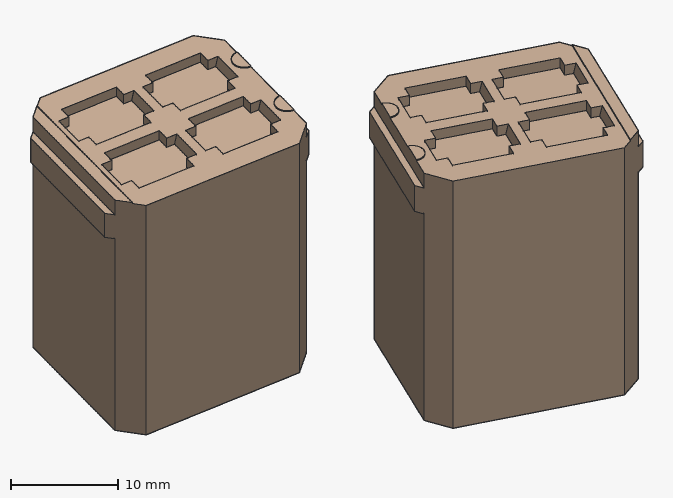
import cadquery as cq

width = 18.5
depth = 22.5
height = 28.0

corner_cut = 2.8
body_depth = 21.13
raised_height = 0.1
body_height = height - raised_height

rail_drop = 1.68
rail_height = 2.9

strip_depth = 1.2
marker_radius = 1.2

pitch_x = 7.47
pitch_y = 9.26
pocket_side = 6.05
pocket_depth = 1.12
slot_width = 3.47
slot_length = 8.29
slot_end_taper = 0.25


def octagon_prism(prism_depth, base_z, prism_height):
    """Chamfered envelope column, trimmed symmetrically to prism_depth along Y."""
    column = (
        cq.Workplane("XY", origin=(0, 0, base_z))
        .rect(width, depth)
        .extrude(prism_height)
        .edges("|Z")
        .chamfer(corner_cut)
    )
    trim = cq.Workplane("XY", origin=(0, 0, base_z)).rect(width, prism_depth).extrude(prism_height)
    return column.intersect(trim)


def front_strip():
    """Thin raised band along the -Y edge of the top face."""
    layer = octagon_prism(body_depth, body_height, raised_height)
    band = (
        cq.Workplane("XY", origin=(0, (strip_depth - body_depth) / 2, body_height))
        .rect(width, strip_depth)
        .extrude(raised_height)
    )
    return layer.intersect(band)


def rear_markers():
    """Raised half discs on the +Y edge of the top face, one per pocket column."""
    discs = (
        cq.Workplane("XY", origin=(0, body_depth / 2, body_height))
        .pushPoints([(-pitch_x / 2, 0), (pitch_x / 2, 0)])
        .circle(marker_radius)
        .extrude(raised_height)
    )
    return discs.intersect(octagon_prism(body_depth, body_height, raised_height))


def pocket():
    """Square recess crossed by a slot whose two end walls slope inwards towards the floor."""
    square = cq.Workplane("XY").rect(pocket_side, pocket_side).extrude(-pocket_depth)
    half_mouth = slot_length / 2
    half_floor = half_mouth - slot_end_taper
    slot = (
        cq.Workplane("YZ")
        .polyline([
            (-half_mouth, 0),
            (half_mouth, 0),
            (half_floor, -pocket_depth),
            (-half_floor, -pocket_depth),
        ])
        .close()
        .extrude(slot_width / 2, both=True)
    )
    return square.union(slot)


body = octagon_prism(body_depth, 0, body_height)
rails = octagon_prism(depth, body_height - rail_drop - rail_height, rail_height)
result = body.union(rails).union(front_strip()).union(rear_markers())

for x_side in (-1, 1):
    for y_side in (-1, 1):
        centre = (x_side * pitch_x / 2, y_side * pitch_y / 2, body_height)
        result = result.cut(pocket().translate(centre))